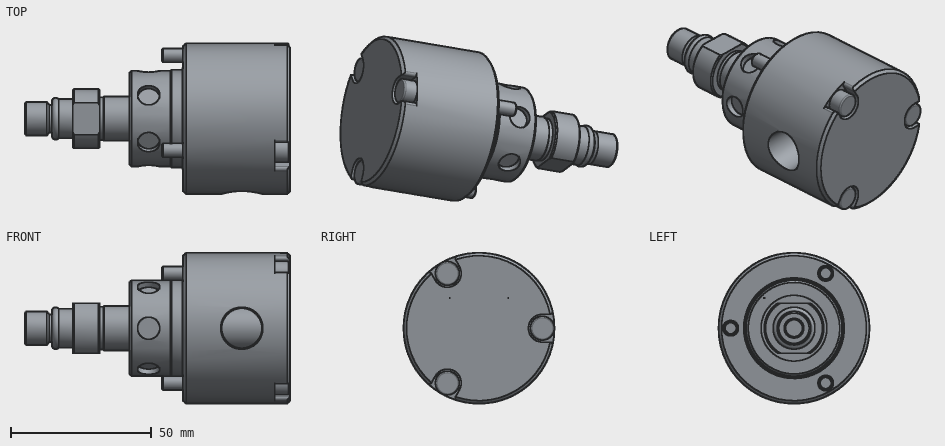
import cadquery as cq
import math


TOTAL_LENGTH = 94.3
COLLAR_FRONT_X = 37.15
BODY_FRONT_X = 56.2

BODY_DIAMETER = 53.7
BODY_RADIUS = BODY_DIAMETER / 2
BODY_CHAMFER = 1.1

COLLAR_DIAMETER = 34.1
COLLAR_CHAMFER = 0.8
PILOT_DIAMETER = 34.82
PILOT_FRONT_X = 51.7
PILOT_CONE_LENGTH = 0.6
STEP_DIAMETER = 35.8
STEP_HEIGHT = 0.3
RECESS_DIAMETER = 23.4
RECESS_DEPTH = 2.7

COLLAR_HOLE_COUNT = 6
COLLAR_HOLE_DIAMETER = 7.9
COLLAR_HOLE_X = 44.0
COLLAR_HOLE_FLOOR_RADIUS = 14.5

PORT_AXIS_DIAMETER = 14.0
PORT_MOUTH_DIAMETER = 15.0
PORT_X = 77.1

SCREW_COUNT = 3
SCREW_CIRCLE_RADIUS = 22.5
SCREW_DIAMETER = 5.0
SCREW_HOLE_DIAMETER = 5.5
SCREW_TIP_X = 48.7
SCREW_TIP_CHAMFER = 0.5
HEAD_DIAMETER = 8.5
HEAD_HEIGHT = 5.0
HEAD_FILLET = 0.5
HEAD_SEAT_X = 88.8
POCKET_WIDTH = 9.9
POCKET_LIP_RADIUS = 1.0

THREAD_DIAMETER = 11.97
THREAD_CHAMFER = 0.6
THREAD_END_X = 7.85
NECK_DIAMETER = 9.9
NECK_START_X = 8.7
NECK_END_X = 9.6
BEAD_START_DIAMETER = 12.6
BEAD_DIAMETER = 14.9
BEAD_END_X = 12.0
SEAT_DIAMETER = 14.0
WRENCH_START_X = 17.0
WRENCH_END_X = 26.6
WRENCH_DIAMETER = 21.2
WRENCH_CHAMFER = 0.5
WRENCH_FLAT_WIDTH = 17.9
RELIEF_DIAMETER = 15.3
JOURNAL_START_X = 27.9
JOURNAL_CHAMFER = 0.25
JOURNAL_DIAMETER = 15.86
SHAFT_END_X = HEAD_SEAT_X
SHAFT_BORE_DIAMETER = 6.0
SHAFT_BORE_MOUTH_DIAMETER = 7.0
SHAFT_BORE_DEPTH = 20.0


def cylinder_x(diameter, start_x, end_x):
    """Cylinder on the X axis between two stations."""
    return cq.Workplane("YZ", origin=(start_x, 0, 0)).circle(diameter / 2).extrude(end_x - start_x)


def revolve_x(profile):
    """Closed (x, radius) sketch turned about the X axis."""
    return profile.close().revolve(360, (0, 0, 0), (1, 0, 0))


def turned_about_x(shape, index, count):
    """Copy number `index` of `count` copies spaced evenly about the X axis."""
    return shape.rotate((0, 0, 0), (1, 0, 0), index * 360 / count)


def make_shaft():
    bead_middle_x = (NECK_END_X + BEAD_END_X) / 2
    profile = (
        cq.Workplane("XY")
        .moveTo(0, 0)
        .lineTo(0, THREAD_DIAMETER / 2 - THREAD_CHAMFER)
        .lineTo(THREAD_CHAMFER, THREAD_DIAMETER / 2)
        .lineTo(THREAD_END_X, THREAD_DIAMETER / 2)
        .lineTo(NECK_START_X, NECK_DIAMETER / 2)
        .lineTo(NECK_END_X, NECK_DIAMETER / 2)
        .lineTo(NECK_END_X, BEAD_START_DIAMETER / 2)
        .threePointArc((bead_middle_x, BEAD_DIAMETER / 2), (BEAD_END_X, SEAT_DIAMETER / 2))
        .lineTo(WRENCH_START_X, SEAT_DIAMETER / 2)
        .lineTo(WRENCH_START_X, RELIEF_DIAMETER / 2)
        .lineTo(JOURNAL_START_X, RELIEF_DIAMETER / 2)
        .lineTo(JOURNAL_START_X + JOURNAL_CHAMFER, JOURNAL_DIAMETER / 2)
        .lineTo(SHAFT_END_X, JOURNAL_DIAMETER / 2)
        .lineTo(SHAFT_END_X, 0)
    )
    wrench_collar = cylinder_x(WRENCH_DIAMETER, WRENCH_START_X, WRENCH_END_X)
    wrench_collar = wrench_collar.edges().chamfer(WRENCH_CHAMFER)
    flats = cq.Workplane("XY").box(2 * WRENCH_END_X, BODY_DIAMETER, WRENCH_FLAT_WIDTH)
    bore = cylinder_x(SHAFT_BORE_DIAMETER, 0, SHAFT_BORE_DEPTH)
    mouth_depth = (SHAFT_BORE_MOUTH_DIAMETER - SHAFT_BORE_DIAMETER) / 2
    shaft = revolve_x(profile).union(wrench_collar.intersect(flats)).cut(bore)
    nose_bore_edge = shaft.faces("<X").edges(cq.selectors.RadiusNthSelector(0))
    return nose_bore_edge.chamfer(mouth_depth)


def housing_blank():
    body = cylinder_x(BODY_DIAMETER, BODY_FRONT_X, TOTAL_LENGTH).edges().chamfer(BODY_CHAMFER)
    step = cylinder_x(STEP_DIAMETER, BODY_FRONT_X - STEP_HEIGHT, BODY_FRONT_X)
    profile = (
        cq.Workplane("XY")
        .moveTo(COLLAR_FRONT_X, 0)
        .lineTo(COLLAR_FRONT_X, COLLAR_DIAMETER / 2 - COLLAR_CHAMFER)
        .lineTo(COLLAR_FRONT_X + COLLAR_CHAMFER, COLLAR_DIAMETER / 2)
        .lineTo(PILOT_FRONT_X, COLLAR_DIAMETER / 2)
        .lineTo(PILOT_FRONT_X + PILOT_CONE_LENGTH, PILOT_DIAMETER / 2)
        .lineTo(BODY_FRONT_X + BODY_CHAMFER, PILOT_DIAMETER / 2)
        .lineTo(BODY_FRONT_X + BODY_CHAMFER, 0)
    )
    recess = cylinder_x(RECESS_DIAMETER, COLLAR_FRONT_X, COLLAR_FRONT_X + RECESS_DEPTH)
    return body.union(step).union(revolve_x(profile)).cut(recess)


def collar_hole():
    """Blind radial hole entering the collar from the -Y side."""
    length = COLLAR_DIAMETER / 2 - COLLAR_HOLE_FLOOR_RADIUS
    plane = cq.Workplane("XZ", origin=(COLLAR_HOLE_X, -COLLAR_HOLE_FLOOR_RADIUS, 0))
    return plane.circle(COLLAR_HOLE_DIAMETER / 2).extrude(length)


def port():
    """Radial port from the -Y side, tapering from the body surface down to the shaft."""
    axis_level = cq.Workplane("XZ", origin=(PORT_X, 0, 0)).circle(PORT_AXIS_DIAMETER / 2)
    return axis_level.workplane(offset=BODY_RADIUS).circle(PORT_MOUTH_DIAMETER / 2).loft()


def screw_pocket():
    """Rear pocket for a screw head on the +Y side, open to the rim through rounded lips."""
    half_width = POCKET_WIDTH / 2
    lip_z = half_width + POCKET_LIP_RADIUS
    lip_y = math.sqrt((BODY_RADIUS - POCKET_LIP_RADIUS) ** 2 - lip_z**2)
    lip_angle = math.atan2(lip_z, lip_y)
    rim_y = BODY_RADIUS * math.cos(lip_angle)
    rim_z = BODY_RADIUS * math.sin(lip_angle)
    middle_angle = (lip_angle - math.pi / 2) / 2
    middle_y = lip_y + POCKET_LIP_RADIUS * math.cos(middle_angle)
    middle_z = lip_z + POCKET_LIP_RADIUS * math.sin(middle_angle)
    outline = (
        cq.Workplane("YZ", origin=(HEAD_SEAT_X, 0, 0))
        .moveTo(SCREW_CIRCLE_RADIUS, half_width)
        .lineTo(lip_y, half_width)
        .threePointArc((middle_y, middle_z), (rim_y, rim_z))
        .lineTo(BODY_RADIUS, rim_z)
        .lineTo(BODY_RADIUS, -rim_z)
        .lineTo(rim_y, -rim_z)
        .threePointArc((middle_y, -middle_z), (lip_y, -half_width))
        .lineTo(SCREW_CIRCLE_RADIUS, -half_width)
        .threePointArc((SCREW_CIRCLE_RADIUS - half_width, 0), (SCREW_CIRCLE_RADIUS, half_width))
        .close()
    )
    return outline.extrude(TOTAL_LENGTH - HEAD_SEAT_X)


def on_screw_axis(shape):
    return shape.translate((0, SCREW_CIRCLE_RADIUS, 0))


def screw():
    shank = cylinder_x(SCREW_DIAMETER, SCREW_TIP_X, HEAD_SEAT_X)
    shank = shank.faces("<X").edges().chamfer(SCREW_TIP_CHAMFER)
    head = cylinder_x(HEAD_DIAMETER, HEAD_SEAT_X, HEAD_SEAT_X + HEAD_HEIGHT)
    head = head.faces(">X").edges().fillet(HEAD_FILLET)
    return on_screw_axis(shank.union(head))


def make_housing(shaft):
    housing = housing_blank().cut(port())
    for index in range(COLLAR_HOLE_COUNT):
        housing = housing.cut(turned_about_x(collar_hole(), index, COLLAR_HOLE_COUNT))
    screw_hole = on_screw_axis(cylinder_x(SCREW_HOLE_DIAMETER, BODY_FRONT_X, HEAD_SEAT_X))
    for index in range(SCREW_COUNT):
        housing = housing.cut(turned_about_x(screw_hole, index, SCREW_COUNT))
        housing = housing.cut(turned_about_x(screw_pocket(), index, SCREW_COUNT))
        housing = housing.union(turned_about_x(screw(), index, SCREW_COUNT))
    return housing.cut(shaft)


shaft = make_shaft()
housing = make_housing(shaft)

result = cq.Compound.makeCompound([shaft.val(), housing.val()])